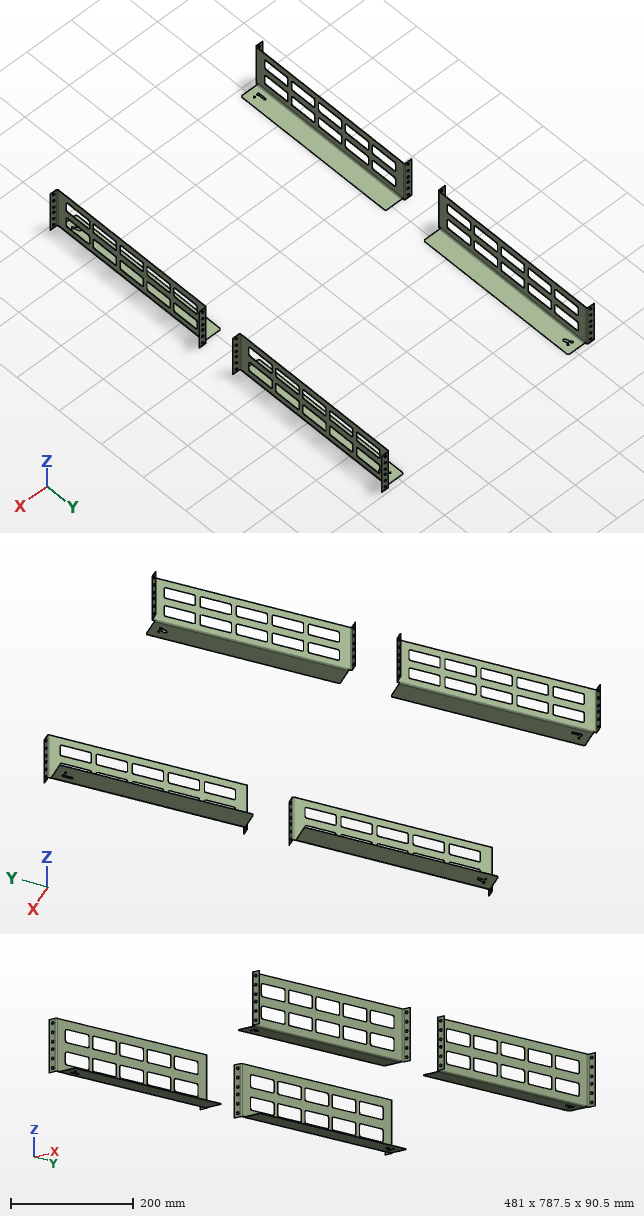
import cadquery as cq
total_width = 481.0
total_depth = 787.5
total_height = 90.5
bracket_length = 354.0

sheet = 1.0
inner_bend = 1.4
outer_bend = inner_bend + sheet

ear_reach = 16.5
web_outer = ear_reach - sheet
ear_height = total_height - sheet

window_columns = 5
window_rows = 2
window_length = 55.0
window_height = 22.0
window_pitch_y = 64.0
window_pitch_z = 38.0
window_mid_z = 46.0
window_radius = 3.0

ear_hole_diameter = 4.5
ear_hole_inset = 8.0
hole_step = 16.0
group_step = 44.0

shelf_reach = 54.0
shelf_end_gap = 5.5
shelf_radius = 3.0

shelf_hole_y = 22.0
near_hole_x = 31.0
near_hole_diameter = 4.5
far_hole_x = 39.0
far_hole_diameter = 3.0
straight_slot_x = 30.0
straight_slot_start_y = 21.0
straight_slot_end_y = 38.5
straight_slot_width = 3.0
slant_slot_x = 35.5
slant_slot_y = 30.0
slant_slot_length = 11.0
slant_slot_width = 5.1
slant_slot_angle = 70

half_length = bracket_length / 2
shelf_half_length = half_length - shelf_end_gap


def web_with_ears():
    """Upright channel: the web with an ear bent outward at each end."""
    bend_line = half_length - outer_bend
    ear_inner = half_length - sheet
    return (
        cq.Workplane("XY", origin=(0, 0, sheet))
        .moveTo(0, -half_length)
        .lineTo(ear_reach - outer_bend, -half_length)
        .radiusArc((ear_reach, -bend_line), -outer_bend)
        .lineTo(ear_reach, bend_line)
        .radiusArc((ear_reach - outer_bend, half_length), -outer_bend)
        .lineTo(0, half_length)
        .lineTo(0, ear_inner)
        .lineTo(web_outer - inner_bend, ear_inner)
        .radiusArc((web_outer, bend_line), inner_bend)
        .lineTo(web_outer, -bend_line)
        .radiusArc((web_outer - inner_bend, -ear_inner), inner_bend)
        .lineTo(0, -ear_inner)
        .close()
        .extrude(ear_height)
    )


def bend_clearance():
    """Lower strip of the web that the shelf bend replaces."""
    return cq.Workplane("XY").box(
        ear_reach, 2 * shelf_half_length, outer_bend, centered=(False, True, False)
    )


def bend_and_shelf():
    """Rounded bend under the web, running into the shelf with its rounded free corners."""
    bend_end = web_outer + outer_bend
    return (
        cq.Workplane("XZ", origin=(0, shelf_half_length, 0))
        .moveTo(web_outer, outer_bend)
        .lineTo(ear_reach, outer_bend)
        .radiusArc((bend_end, sheet), -inner_bend)
        .lineTo(shelf_reach, sheet)
        .lineTo(shelf_reach, 0)
        .lineTo(bend_end, 0)
        .radiusArc((web_outer, outer_bend), outer_bend)
        .close()
        .extrude(2 * shelf_half_length)
        .edges("|Z and >X")
        .fillet(shelf_radius)
    )


def windows():
    return (
        cq.Workplane("YZ", origin=(0, 0, window_mid_z))
        .rarray(window_pitch_y, window_pitch_z, window_columns, window_rows)
        .rect(window_length, window_height)
        .extrude(ear_reach)
        .edges("|X")
        .fillet(window_radius)
    )


def ear_holes():
    """Cutters along Y that pass through both ears."""
    mid_z = sheet + ear_height / 2
    centres = [
        (ear_hole_inset, mid_z + side * group_step / 2 + place * hole_step)
        for side in (-1, 1)
        for place in (-1, 0, 1)
    ]
    return (
        cq.Workplane("XZ", origin=(0, half_length, 0))
        .pushPoints(centres)
        .circle(ear_hole_diameter / 2)
        .extrude(bracket_length)
    )


def shelf_plane(x, y):
    """Workplane on the shelf underside, y measured from the front ear face."""
    return cq.Workplane("XY", origin=(x, y - half_length, 0))


def shelf_hole(x, diameter):
    return shelf_plane(x, shelf_hole_y).circle(diameter / 2).extrude(sheet)


def straight_slot():
    length = straight_slot_end_y - straight_slot_start_y
    mid_y = (straight_slot_start_y + straight_slot_end_y) / 2
    return shelf_plane(straight_slot_x, mid_y).slot2D(length, straight_slot_width, 90).extrude(sheet)


def slant_slot():
    return (
        shelf_plane(slant_slot_x, slant_slot_y)
        .slot2D(slant_slot_length, slant_slot_width, slant_slot_angle)
        .extrude(sheet)
    )


def plain_bracket():
    """Bracket without its slot: ear tips at x = 0, shelf toward +X, centred along Y."""
    return (
        web_with_ears()
        .cut(bend_clearance())
        .union(bend_and_shelf())
        .cut(windows())
        .cut(ear_holes())
        .cut(shelf_hole(near_hole_x, near_hole_diameter))
        .cut(shelf_hole(far_hole_x, far_hole_diameter))
    )


def straight_slot_bracket():
    """Bracket for the front left place."""
    body = plain_bracket().cut(straight_slot())
    return body.translate((-total_width / 2, (bracket_length - total_depth) / 2, 0))


def slant_slot_bracket():
    """Bracket for the front right place, folded the opposite way."""
    body = plain_bracket().cut(slant_slot()).mirror("YZ")
    return body.translate((total_width / 2, (bracket_length - total_depth) / 2, 0))


def front_and_rear(front):
    """A front bracket and its copy half a turn about the Z axis, in the opposite rear place."""
    return [front.rotate((0, 0, 0), (0, 0, 1), turn).solids().val() for turn in (0, 180)]


straight_slot_brackets = front_and_rear(straight_slot_bracket())
slant_slot_brackets = front_and_rear(slant_slot_bracket())

result = cq.Compound.makeCompound([*straight_slot_brackets, *slant_slot_brackets])